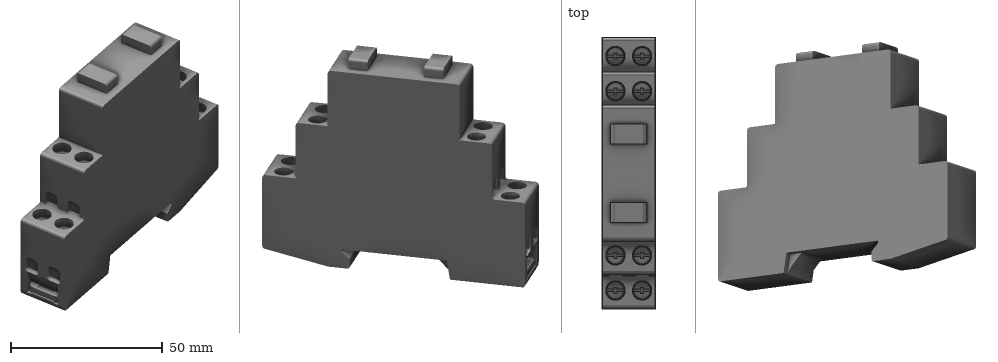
import cadquery as cq

width = 17.6
length = 89.8
height = 74.6

overlap = 0.9

half_base = length / 2
half_shoulder = 33.5
half_top = 22.5
base_top = 30.6
shoulder_top = 50.7
housing_top = 70.85
edge_radius = 1.1
toe_height = 1.7
toe_inset = 0.3
toe_radius = 0.6
corner_fill = 0.45

rear_foot_height = 4.1
rear_foot_flat_start = 22.45
hook_tip_y = 15.2
hook_tip_height = 3.4
hook_root_y = 17.6
hook_root_height = 5.8
hook_radius = 0.45
rail_roof = 6.7
rail_front_top_y = -18.1
rail_front_bottom_y = -19.2

button_width = 11.9
button_length = 6.6
button_offset = 12.9
button_radius = 1.1

terminal_x = 4.4
outer_screw_y = 38.7
inner_screw_y = 27.1
screw_hole_diameter = 6.4
screw_diameter = 5.75
screw_depth = 3.4
screw_gap_depth = 1.35
slot_width = 0.8
cross_width = 1.0
cross_length = 2.0
slot_depth = 0.5

wire_width = 5.3
wire_height = 6.0
wire_crown = 1.0
wire_depth = 2.0
wire_corner_radius = 1.1
lower_wire_bottom = 10.3
upper_wire_sink = 0.3
upper_wire_bottom = base_top - upper_wire_sink

window_width = 12.5
window_top = 10.3
window_depth = 2.9
tab_top = 4.3
tab_recess = 0.45
tab_end_radius = 2.2
tab_slot_width = 5.9
tab_slot_depth = 0.4
tab_slot_setback = 0.9
lip_width = 8.8
lip_height = 0.45
clip_nose_y = -13.8
clip_knee_y = -18.0
clip_knee_height = 2.3
clip_heel_height = 0.5


def block(x_size, y_min, y_max, z_min, z_max):
    """Box centred on X between the given Y and Z limits."""
    return cq.Workplane("XY").box(x_size, y_max - y_min, z_max - z_min, centered=False).translate(
        (-x_size / 2, y_min, z_min)
    )


def prism(points, x_size):
    """Extrude a closed (Y, Z) outline symmetrically about X = 0."""
    return cq.Workplane("YZ").polyline(points).close().extrude(x_size / 2, both=True)


def edges_at(solid, corners):
    """Edges parallel to X that run through the given (Y, Z) corners."""
    picked = solid.edges(cq.selectors.NearestToPointSelector((0, *corners[0])))
    for y, z in corners[1:]:
        picked = picked.add(solid.edges(cq.selectors.NearestToPointSelector((0, y, z))))
    return picked


def make_housing():
    rear_base = (half_base, base_top)
    front_base = (-half_base, base_top)
    rear_shoulder = (half_shoulder, shoulder_top)
    front_shoulder = (-half_shoulder, shoulder_top)
    rear_top = (half_top, housing_top)
    front_top = (-half_top, housing_top)
    rear_foot = (half_base, rear_foot_height)
    front_toe = (-half_base + toe_inset, 0)
    hook_heel = (hook_tip_y, 0)
    hook_tip = (hook_tip_y, hook_tip_height)
    outline = [
        rear_foot, rear_base, (half_shoulder, base_top),
        rear_shoulder, (half_top, shoulder_top),
        rear_top, front_top,
        (-half_top, shoulder_top), front_shoulder,
        (-half_shoulder, base_top + corner_fill), (-half_shoulder - corner_fill, base_top),
        front_base, (-half_base, toe_height), front_toe,
        (rail_front_bottom_y, 0), (rail_front_top_y, rail_roof),
        (hook_root_y, rail_roof), (hook_root_y, hook_root_height),
        hook_tip, hook_heel, (rear_foot_flat_start, 0),
    ]
    body = prism(outline, width)
    rounded = [rear_base, front_base, rear_shoulder, front_shoulder, rear_top, front_top, rear_foot]
    body = edges_at(body, rounded).fillet(edge_radius)
    body = edges_at(body, [front_toe]).fillet(toe_radius)
    return edges_at(body, [hook_heel, hook_tip]).fillet(hook_radius)


def make_button(y):
    y_min = y - button_length / 2
    button = block(button_width, y_min, y_min + button_length, housing_top - overlap, height)
    return button.faces(">Z").edges("|Y").fillet(button_radius)


def make_screw_recess(x, y, shelf):
    """Round recess whose floor is a slotted screw head ringed by a narrow gap."""
    head = shelf - screw_depth
    recess = cq.Workplane("XY").workplane(offset=head).circle(screw_hole_diameter / 2).extrude(screw_depth)
    gap = (
        cq.Workplane("XY").workplane(offset=head).circle(screw_hole_diameter / 2)
        .circle(screw_diameter / 2).extrude(-screw_gap_depth)
    )
    slot = cq.Workplane("XY").workplane(offset=head).rect(screw_diameter, slot_width).extrude(-slot_depth)
    cross = cq.Workplane("XY").workplane(offset=head).rect(cross_width, cross_length).extrude(-slot_depth)
    return recess.union(gap).union(slot).union(cross).translate((x, y, 0))


def make_wire_entry(x, wall_y, bottom):
    """Blind pocket with an arched top and rounded lower corners in a front wall."""
    half = wire_width / 2
    spring = wire_height - wire_crown
    entry = (
        cq.Workplane("XZ").moveTo(-half, 0).lineTo(half, 0).lineTo(half, spring)
        .threePointArc((0, wire_height), (-half, spring)).close()
        .extrude(wire_depth, both=True)
    )
    entry = entry.edges("|Y and <Z").fillet(wire_corner_radius)
    return entry.translate((x, wall_y, bottom))


def make_upper_wire_entry(x):
    """Wire entry above the front shelf, cut off level with the shelf."""
    entry = make_wire_entry(x, -half_shoulder, upper_wire_bottom)
    return entry.cut(block(width, -half_base, 0, 0, base_top))


def make_window():
    """Front opening with a roof that slopes down towards the clip."""
    inner_y = -half_base + window_depth
    return prism(
        [(-half_base, toe_height), (inner_y, toe_height), (inner_y, tab_top), (-half_base, window_top)],
        window_width,
    )


def make_clip_tab():
    """Finger tab in the window: rounded ends, a slot in its top and a lip along its foot."""
    front_y = -half_base + tab_recess
    inner_y = -half_base + window_depth
    tab = block(window_width, front_y, inner_y, toe_height, tab_top)
    tab = tab.faces("<Y").edges("|Z").fillet(tab_end_radius)
    lip = block(lip_width, -half_base, front_y + overlap, toe_height, toe_height + lip_height)
    slot = block(tab_slot_width, front_y + tab_slot_setback, inner_y, tab_top - tab_slot_depth, tab_top)
    return tab.cut(slot).union(lip)


def make_clip_nose():
    """Sloping nose that reaches into the rail recess."""
    return prism(
        [(clip_nose_y, rail_roof), (rail_front_top_y - overlap, rail_roof),
         (rail_front_bottom_y - overlap, clip_heel_height), (rail_front_bottom_y, clip_heel_height),
         (clip_knee_y, clip_knee_height)],
        window_width,
    )


result = make_housing()
for side in (-1, 1):
    result = result.union(make_button(side * button_offset))

for x in (-terminal_x, terminal_x):
    for end in (-1, 1):
        result = result.cut(make_screw_recess(x, end * outer_screw_y, base_top))
        result = result.cut(make_screw_recess(x, end * inner_screw_y, shoulder_top))
    result = result.cut(make_wire_entry(x, -half_base, lower_wire_bottom))
    result = result.cut(make_upper_wire_entry(x))

result = result.cut(make_window()).union(make_clip_tab()).union(make_clip_nose())